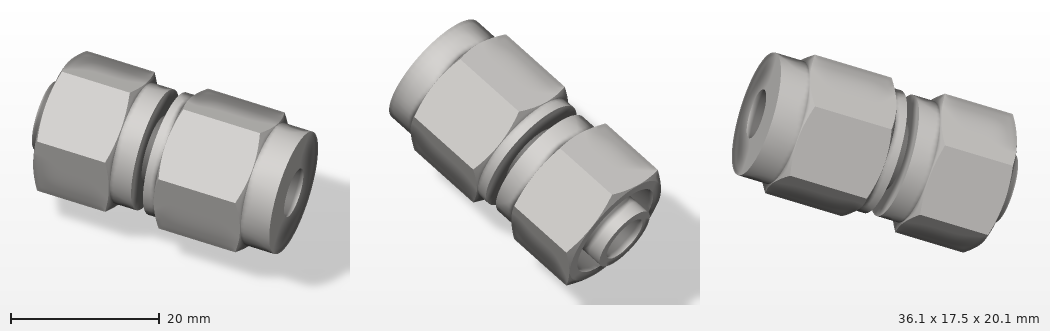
import cadquery as cq
import math

across_flats = 17.45
flat_radius = across_flats / 2
corner_radius = flat_radius / math.cos(math.pi / 6)

nut_start = 1.75
nut_hex_end = 12.88
nut_end = 15.95
nut_collar_radius = 8.5
nut_front_radius = 8.65
nut_chamfer_length = 0.6
nut_bore_radius = 7.2
nut_rear_wall = 1.0
nut_bore_end = nut_end - nut_rear_wall

body_length = 36.07
tube_radius = 4.8
passage_radius = 3.43
cone_tip_radius = 5.0
cone_half_angle = 13.0
cone_length = (nut_bore_radius - cone_tip_radius) / math.tan(math.radians(cone_half_angle))
cone_start = nut_bore_end - cone_length
shoulder_start = 17.7
body_hex_start = 19.25
body_hex_end = 31.92
body_collar_radius = 8.62
body_chamfer_length = 0.75


def revolved(profile):
    """Turn a closed (x, radius) profile about the X axis."""
    return cq.Workplane("XY").polyline(profile).close().revolve(360, (0, 0, 0), (1, 0, 0))


def cylinder(start, end, radius):
    """Round bar along X."""
    return cq.Workplane("YZ", origin=(start, 0, 0)).circle(radius).extrude(end - start)


def chamfered_hex(start, end, start_radius, end_radius, chamfer_length):
    """Hexagon bar along X with corners at +Z and -Z and conically turned ends."""
    bar = (
        cq.Workplane("YZ", origin=(start, 0, 0))
        .polygon(6, 2 * corner_radius)
        .extrude(end - start)
        .rotate((0, 0, 0), (1, 0, 0), 30)
    )
    turned_envelope = revolved([
        (start, 0),
        (start, start_radius),
        (start + chamfer_length, corner_radius),
        (end - chamfer_length, corner_radius),
        (end, end_radius),
        (end, 0),
    ])
    return bar.intersect(turned_envelope)


def make_swivel_nut():
    """Hexagon nut with a rear collar, a wide front bore and a rear hole that fits the tube."""
    outside = chamfered_hex(
        nut_start, nut_hex_end, nut_front_radius, nut_collar_radius, nut_chamfer_length
    )
    outside = outside.union(cylinder(nut_hex_end, nut_end, nut_collar_radius))
    bore = cylinder(nut_start, nut_bore_end, nut_bore_radius)
    rear_hole = cylinder(nut_bore_end, nut_end, tube_radius)
    return outside.cut(bore).cut(rear_hole)


def make_sealing_cone():
    """Cone around the tube, widening from a small step to fill the nut bore at its rear wall."""
    return revolved([
        (cone_start, 0),
        (cone_start, cone_tip_radius),
        (nut_bore_end, nut_bore_radius),
        (nut_bore_end, 0),
    ])


def make_fitting_body():
    """Tube with a sealing cone inside the nut, joined to a hexagon with a collar at each end."""
    outside = cylinder(0, shoulder_start, tube_radius)
    outside = outside.union(make_sealing_cone())
    outside = outside.union(cylinder(shoulder_start, body_length, body_collar_radius))
    outside = outside.union(
        chamfered_hex(
            body_hex_start, body_hex_end, body_collar_radius, body_collar_radius, body_chamfer_length
        )
    )
    return outside.cut(cylinder(0, body_length, passage_radius))


swivel_nut = make_swivel_nut()
fitting_body = make_fitting_body()

result = cq.Compound.makeCompound([*swivel_nut.solids().vals(), *fitting_body.solids().vals()])